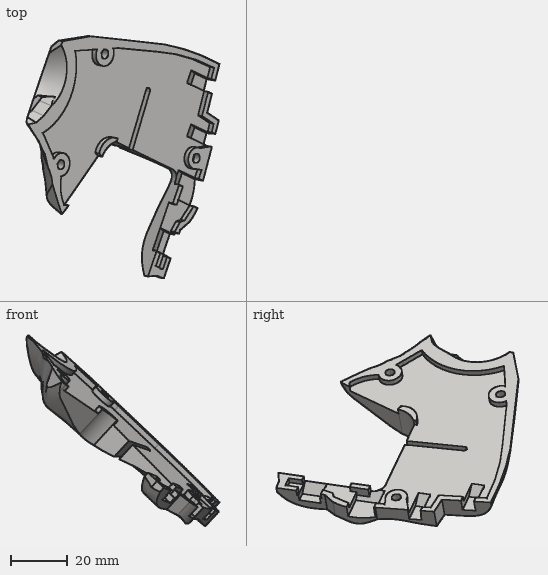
import cadquery as cq
import math

PARTING_SLOPE_X = -0.93
PARTING_SLOPE_Y = 0.173
PARTING_ORIGIN = (0, 0, 0.75)
V_HEADING = (0.34, 1.0)

RIM_HEIGHT = 2.1
RIM_WIDTH = 1.9
BODY_DEPTH = 25.0
CLEARANCE = 5.0

V_STATIONS = (-38, -33, -28, -23, -18, -12, -6, 0, 5, 12, 20, 28, 34, 38, 42, 46, 50)
DEPTH_ROWS = {
    -56: (-9, -9, -9, -9, -9, -8, -2, 3, 6, 6.5, 5.5, 1.5, -3, -6, -8, -9, -9),
    -48: (-9, -9, -9, -9, -9, -7, -1.2, 4.7, 7.5, 9.5, 8, 1.5, -2.5, -5, -8, -9, -9),
    -39: (-9, -9, -9, -9, -8, -3.5, 3.7, 7.2, 9.2, 10.2, 9.2, 4.5, -0.5, -3, -6, -8, -9),
    -30: (-9, -9, -8, -7, -1.5, 7.3, 9.6, 10.2, 10.3, 10.2, 9.6, 6.8, 2.3, -1, -4, -6, -8),
    -20: (-6, -4, 0.5, 7.2, 10, 12, 12.5, 12.3, 11.7, 10.8, 9.8, 8, 4.5, 1.2, -2.5, -5, -7),
    -10: (-6, -5, -3, 0, 4, 8.5, 11.2, 12.5, 12.7, 11.2, 10.3, 9, 6.5, 3.5, 0, -3, -6),
    0: (-6, -4, -2, 2, 5, 8, 10, 11, 10.8, 9.2, 9.8, 9.4, 7.7, 5, 1.5, -2.5, -6),
    10: (-5, -2, 1, 3, 5, 6, 7, 7.5, 7.6, 7.7, 9, 9.2, 8.6, 6.7, 3.8, -0.5, -5),
    20: (-4, 1, 4, 5.5, 6, 5.5, 5, 4.9, 5, 6.3, 8, 8.5, 8.2, 7.3, 5.1, 0.2, -5),
    30: (-2.5, 3.3, 6.4, 7.8, 7.8, 7, 5.9, 4.8, 4.8, 5.7, 7, 7.6, 7.6, 7.3, 6, 0.5, -6),
    38: (-4, 1.5, 6, 7.5, 7.5, 7, 6.9, 6.6, 5.8, 5.4, 6.4, 7.2, 7.3, 7, 5.5, 0.5, -6),
    46: (-5, 0, 5, 7, 7.1, 6.9, 6.8, 6.4, 5.8, 5.5, 6, 6.5, 6.8, 6.5, 5, 0.5, -6),
}

MUZZLE_TOP = (-45.5, 28.1)
MUZZLE_BOTTOM = (-48.3, -4.2)
LOBE_TIP = (-19.0, -28.0)
LOBE_INNER_TIP = (-18.0, -26.0)
BARREL_EDGE_V = 4.3
CROTCH_END = (-5.2, BARREL_EDGE_V)
CROTCH_MID = (-7.3, 2.4)
CROTCH_START = (-9.5, -3.1)
HANDLE_WALL_U = 30.0
NECK_RADIUS = 3.5
HANDLE_TIP = (HANDLE_WALL_U, -34.7)
HANDLE_BACK_U = 37.6
HANDLE_END_V = -32.8
RIGHT_TOP = (29.7, 45.4)
STEP_INNER = (31.7, 27.7)
STEP_OUTER = (38.2, 27.0)
TAB_CORNER = (40.3, 5.5)
FAR_RIGHT_U = 48.0
BELOW_HANDLE_V = -38.0

STEP_END_U = 38.7
STEP_END_V = 22.0
BOSS_TAB = ((34, 7.3), (38, 8.3), (38, 5), (42, 5), (40, 17.3), (38.5, 17.3), (34, 15.1))
HANDLE_STRIP_WIDTH = 2.0
HANDLE_STRIP_LENGTH = 7.0
END_BLOCK = (
    (HANDLE_WALL_U, -25),
    (FAR_RIGHT_U, -25.6),
    (FAR_RIGHT_U, BELOW_HANDLE_V),
    (HANDLE_WALL_U, BELOW_HANDLE_V),
)
END_BLOCK_RECESS = ((32, -25), (35.7, -25), (35.7, -30), (32, -30))
BACK_TONGUE = ((40, -4.7), (43, -4.7), (42, -12), (39, -16), (35.3, -16), (36.2, -12), (38, -10.8))

RECESS_TOP_LEFT = (-38.3, 27.0)
RECESS_TOP_V = 43.3

SEAT_CENTER = (-52.6, 13.8)
SEAT_RADIUS = 14.6
SEAT_TAPER = 0.78
SEAT_DEPTH = 12.0
FLARE_CORNERS = (
    (-52.0, MUZZLE_BOTTOM[1]),
    MUZZLE_BOTTOM,
    (-45.0, -2.4),
    (-42.6, 1.0),
    (-40.6, 5.5),
    (-39.0, 9.5),
    (-52.0, 9.5),
)
FLARE_DEPTH = 5.0
FLARE_TAPER = 20
END_FACE_START = (-43.8, -6.6)
END_FACE_SLOPE = 1.1
END_FACE_REACH = 25.0

SCREWS = (
    ((-24.2, 30.6), 4.3, 3.8),
    ((-27.1, -12.1), 4.2, 3.8),
    ((33.8, 11.2), 3.9, 3.0),
)
SCREW_HOLE_DIAMETER = 3.3
COUNTERBORE_DIAMETER = 4.6

SLOT_WIDTH = 2.0
SLOT_INNER_END = (3.1, 25.9)
SLOT_OPEN_END = (4.6, BARREL_EDGE_V - CLEARANCE)

NOTCHES = (
    (19.7, 34.6, 39.3),
    (28.0, 17.3, 21.8),
    (29.4, -4.7, 5.0),
    (HANDLE_WALL_U, -24.7, -16.6),
)
NOTCH_DEPTH = 4.5
NOTCH_RAMP = 4.3


def slab(profile, top, height):
    """Extrude a closed profile downward from the level `top`."""
    return profile.extrude(-height).translate((0, 0, top))


def outline():
    neck_diagonal = NECK_RADIUS * (1 - math.sqrt(0.5))
    return (
        cq.Workplane("XY")
        .moveTo(*MUZZLE_TOP)
        .lineTo(-33.5, 34.1)
        .lineTo(2.0, 43.2)
        .threePointArc((15.5, 45.1), RIGHT_TOP)
        .lineTo(*STEP_INNER)
        .lineTo(*STEP_OUTER)
        .lineTo(*TAB_CORNER)
        .threePointArc((42.2, -2.5), (40.5, -10.5))
        .lineTo(HANDLE_BACK_U, -14.5)
        .lineTo(HANDLE_BACK_U, HANDLE_END_V)
        .lineTo(HANDLE_BACK_U - 3.5, HANDLE_END_V - 0.2)
        .lineTo(*HANDLE_TIP)
        .lineTo(HANDLE_WALL_U, BARREL_EDGE_V - NECK_RADIUS)
        .threePointArc(
            (HANDLE_WALL_U - neck_diagonal, BARREL_EDGE_V - neck_diagonal),
            (HANDLE_WALL_U - NECK_RADIUS, BARREL_EDGE_V),
        )
        .lineTo(*CROTCH_END)
        .threePointArc(CROTCH_MID, CROTCH_START)
        .lineTo(*LOBE_INNER_TIP)
        .lineTo(*LOBE_TIP)
        .threePointArc((-28.2, -19.5), (-36.0, -11.3))
        .lineTo(*MUZZLE_BOTTOM)
        .close()
    )


def above_outer_surface():
    """Everything above the smooth outer surface."""
    grid = [
        [cq.Vector(u, v, -depth) for v, depth in zip(V_STATIONS, depths)]
        for u, depths in DEPTH_ROWS.items()
    ]
    surface = cq.Face.makeSplineApprox(grid, tol=0.05)
    return cq.Workplane(cq.Solid.extrudeLinear(surface, cq.Vector(0, 0, 2 * BODY_DEPTH)))


def screw_bosses():
    bosses = cq.Workplane("XY")
    for center, radius, _ in SCREWS:
        bosses = bosses.union(slab(cq.Workplane("XY").center(*center).circle(radius), 0, RIM_HEIGHT))
    return bosses


def rim_strip(points):
    return slab(cq.Workplane("XY").polyline(points).close(), 0, RIM_HEIGHT)


def right_edge_rim():
    """Stepped rim along the right edge and the tab that carries the right boss out to it."""
    edge = rim_strip([
        RIGHT_TOP,
        STEP_INNER,
        STEP_OUTER,
        (STEP_END_U, STEP_END_V),
        (STEP_END_U - RIM_WIDTH, STEP_END_V),
        (STEP_OUTER[0] - RIM_WIDTH, STEP_OUTER[1] - RIM_WIDTH),
        (STEP_INNER[0] - RIM_WIDTH, STEP_INNER[1] - RIM_WIDTH),
        (RIGHT_TOP[0] - RIM_WIDTH, RIGHT_TOP[1] - RIM_WIDTH),
    ])
    return edge.union(rim_strip(BOSS_TAB))


def crotch_lip():
    """Short curved lip around the inner corner between lobe and barrel."""
    lip_left_u = CROTCH_START[0] - RIM_WIDTH
    profile = (
        cq.Workplane("XY")
        .moveTo(*CROTCH_START)
        .lineTo(lip_left_u, CROTCH_START[1] + 0.6)
        .threePointArc((-9.4, 3.6), (CROTCH_END[0], CROTCH_END[1] + 1.0))
        .lineTo(*CROTCH_END)
        .lineTo(*CROTCH_MID)
        .close()
    )
    return slab(profile, 0, RIM_HEIGHT)


def handle_strip(height):
    """Strip along the inner wall at the top of the handle."""
    profile = (
        cq.Workplane("XY")
        .moveTo(HANDLE_WALL_U, 0)
        .hLine(HANDLE_STRIP_WIDTH)
        .vLine(-HANDLE_STRIP_LENGTH)
        .hLine(-HANDLE_STRIP_WIDTH)
        .close()
    )
    return slab(profile, 0, height)


def handle_rims():
    """Inner strip, end block with its small recess, and the curved back tongue of the handle."""
    block = rim_strip(END_BLOCK).cut(rim_strip(END_BLOCK_RECESS))
    return handle_strip(RIM_HEIGHT).union(block).union(rim_strip(BACK_TONGUE))


def floor_recess():
    """Shallow recess inside the rim, leaving the bosses, lips and strips standing."""
    profile = (
        cq.Workplane("XY")
        .moveTo(*RECESS_TOP_LEFT)
        .lineTo(-19.0, 34.6)
        .lineTo(0.0, 39.7)
        .threePointArc((13.0, 42.5), (28.0, RECESS_TOP_V))
        .lineTo(FAR_RIGHT_U, RECESS_TOP_V)
        .lineTo(FAR_RIGHT_U, BELOW_HANDLE_V)
        .lineTo(HANDLE_WALL_U - CLEARANCE, BELOW_HANDLE_V)
        .lineTo(HANDLE_WALL_U - CLEARANCE, 0)
        .lineTo(-14.0, -23.0)
        .lineTo(-19.3, -24.7)
        .threePointArc((-23.4, -20.2), (-25.2, -15.5))
        .lineTo(-33.5, -9.6)
        .lineTo(-40.3, -4.7)
        .threePointArc((-33.2, 12.5), RECESS_TOP_LEFT)
        .close()
    )
    recess = slab(profile, 0, RIM_HEIGHT)
    for standing in (screw_bosses(), right_edge_rim(), crotch_lip(), handle_rims()):
        recess = recess.cut(standing)
    return recess


def muzzle_cut():
    """Conical seat, flare and sloping end face at the left end."""
    seat = cq.Workplane(
        cq.Solid.makeCone(
            SEAT_RADIUS,
            SEAT_RADIUS - SEAT_TAPER * SEAT_DEPTH,
            SEAT_DEPTH,
            cq.Vector(*SEAT_CENTER, 0),
            cq.Vector(0, 0, -1),
        )
    )
    flare = (
        cq.Workplane("XY")
        .polyline(FLARE_CORNERS)
        .close()
        .extrude(-FLARE_DEPTH, taper=FLARE_TAPER)
    )
    face_u, face_w = END_FACE_START
    end_face = (
        cq.Workplane("XZ")
        .polyline([
            (face_u - END_FACE_REACH, face_w + END_FACE_REACH * END_FACE_SLOPE),
            (face_u + END_FACE_REACH, face_w - END_FACE_REACH * END_FACE_SLOPE),
            (face_u - END_FACE_REACH, face_w - END_FACE_REACH * END_FACE_SLOPE),
        ])
        .close()
        .extrude(2 * BODY_DEPTH, both=True)
    )
    return seat.union(flare).union(end_face)


def screw_cut(center, counterbore_floor):
    hole = slab(cq.Workplane("XY").center(*center).circle(SCREW_HOLE_DIAMETER / 2), 0, BODY_DEPTH)
    counterbore = cq.Workplane("XY").center(*center).circle(COUNTERBORE_DIAMETER / 2)
    return hole.union(slab(counterbore, -counterbore_floor, BODY_DEPTH))


def slot_cut():
    run_u = SLOT_OPEN_END[0] - SLOT_INNER_END[0]
    run_v = SLOT_OPEN_END[1] - SLOT_INNER_END[1]
    length = math.hypot(run_u, run_v)
    slot = (
        cq.Workplane("XY")
        .center(length / 2, 0)
        .slot2D(length + SLOT_WIDTH, SLOT_WIDTH)
        .extrude(-BODY_DEPTH)
        .rotate((0, 0, 0), (0, 0, 1), math.degrees(math.atan2(run_v, run_u)))
    )
    return slot.translate((*SLOT_INNER_END, 0))


def notch_cut(inner_u, lower_v, upper_v):
    """Notch with a ramped inner end, open at the right edge and at the top."""
    return (
        cq.Workplane("XZ", origin=(0, upper_v, 0))
        .moveTo(inner_u, 0)
        .lineTo(inner_u, -RIM_HEIGHT)
        .lineTo(inner_u + NOTCH_RAMP, -NOTCH_DEPTH)
        .lineTo(FAR_RIGHT_U, -NOTCH_DEPTH)
        .lineTo(FAR_RIGHT_U, 0)
        .close()
        .extrude(upper_v - lower_v)
    )


def parting_frame():
    """Plane that carries the u, v, w frame into the part's axes."""
    heading_x, heading_y = V_HEADING
    normal = cq.Vector(-PARTING_SLOPE_X, -PARTING_SLOPE_Y, 1)
    v_rise = PARTING_SLOPE_X * heading_x + PARTING_SLOPE_Y * heading_y
    v_axis = cq.Vector(heading_x, heading_y, v_rise)
    return cq.Plane(origin=PARTING_ORIGIN, xDir=v_axis.cross(normal), normal=normal)


shell = slab(outline(), 0, BODY_DEPTH).intersect(above_outer_surface())
shell = shell.cut(floor_recess()).cut(muzzle_cut()).cut(slot_cut())
for screw_center, _, counterbore_floor in SCREWS:
    shell = shell.cut(screw_cut(screw_center, counterbore_floor))
for notch in NOTCHES:
    shell = shell.cut(notch_cut(*notch).cut(handle_strip(NOTCH_DEPTH)))

result = cq.Workplane(shell.val().moved(cq.Location(parting_frame())))